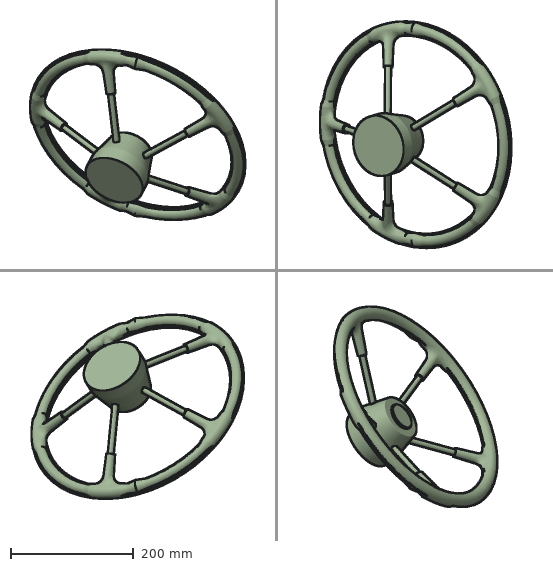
import cadquery as cq
import math


wheel_radius = 187.5
wheel_depth = 118.83

tube_radius = 12.0
grip_radius = 9.4
rim_radius = wheel_radius - tube_radius
rim_y = wheel_depth - tube_radius

hub_radius = 50.0
hub_base_length = 25.0
hub_length = 75.0
hub_top_radius = 37.5
hub_edge_fillet = 1.5
boss_radius = 22.5
boss_top_y = 78.2
boss_edge_chamfer = 0.8

spoke_count = 5
spoke_pitch = 360.0 / spoke_count
first_spoke_angle = spoke_pitch / 2
rod_radius = 5.25
rod_inner_radius = 30.0
spoke_slope = math.radians(24.7)
sleeve_start_radius = 119.0
sleeve_end_radius = 172.0
sleeve_seam_radius = rim_radius - 2 * tube_radius
sleeve_small_radius = 7.5
sleeve_large_radius = 9.5
joint_fillet = 15.0

joint_half_angle = 9.2
joint_fade_angle = 4.0
seam_angles = (90.0, 270.0)
seam_fade_angle = 6.5
fade_sink = 0.6


def turn(shape, angle):
    """Turn a shape about the wheel axis, from +X towards +Z."""
    return shape.rotate((0, 0, 0), (0, 1, 0), -angle)


def radial_point(radius):
    """Point on the axis of the spoke in the XY plane at a distance from the wheel axis."""
    return cq.Vector(radius, rim_y - (rim_radius - radius) * math.tan(spoke_slope), 0)


def make_hub():
    profile = (
        cq.Workplane("XY")
        .lineTo(hub_radius, 0)
        .lineTo(hub_radius, hub_base_length)
        .lineTo(hub_top_radius, hub_length)
        .lineTo(0, hub_length)
        .close()
    )
    body = profile.revolve(360, (0, 0, 0), (0, 1, 0)).faces(">Y").edges().fillet(hub_edge_fillet)
    boss = (
        cq.Workplane("XZ", origin=(0, hub_length, 0))
        .circle(boss_radius)
        .extrude(hub_length - boss_top_y)
        .faces(">Y")
        .chamfer(boss_edge_chamfer)
    )
    return body.union(boss)


def make_grip(start_angle, end_angle):
    """Rim length with a large half circle facing +Y and a smaller one facing the hub."""
    grip = (
        cq.Workplane("XY", origin=(rim_radius, rim_y, 0))
        .moveTo(-tube_radius, 0)
        .threePointArc((0, tube_radius), (tube_radius, 0))
        .lineTo(grip_radius, 0)
        .threePointArc((0, -grip_radius), (-grip_radius, 0))
        .close()
        .revolve(end_angle - start_angle, (-rim_radius, 0, 0), (-rim_radius, 1, 0))
    )
    return turn(grip, end_angle)


def hub_side_section(radius, angle):
    """Half-circle outline on the hub side of the tube, at an angle round the rim."""
    outline = (
        cq.Workplane("XY", origin=(rim_radius, rim_y, 0))
        .moveTo(radius, 0)
        .threePointArc((0, -radius), (-radius, 0))
        .close()
    )
    return turn(outline.val(), angle)


def make_fade(start_angle, end_angle):
    """Hub-side taper from the full tube down into the grip surface."""
    full_section = hub_side_section(tube_radius, start_angle)
    sunk_section = hub_side_section(grip_radius - fade_sink, end_angle)
    return cq.Workplane(cq.Solid.makeLoft([full_section, sunk_section], True))


def make_joint():
    """Full-round rim length blended into the spoke sleeve, for a spoke along +X."""
    tube = (
        cq.Workplane("XY", origin=(rim_radius, rim_y, 0))
        .circle(tube_radius)
        .revolve(2 * joint_half_angle, (-rim_radius, 0, 0), (-rim_radius, 1, 0))
    )
    tube = turn(tube, joint_half_angle)
    start = radial_point(sleeve_start_radius)
    axis = radial_point(sleeve_end_radius) - start
    sleeve = cq.Solid.makeCone(sleeve_small_radius, sleeve_large_radius, axis.Length, start, axis)
    joint = tube.union(cq.Workplane(sleeve))
    seam_zone = cq.selectors.BoxSelector(
        (sleeve_seam_radius, 0, -tube_radius),
        (rim_radius, wheel_depth, tube_radius),
        boundingbox=True,
    )
    return joint.edges(seam_zone).fillet(joint_fillet)


def make_rod():
    start = radial_point(rod_inner_radius)
    axis = radial_point(rim_radius) - start
    return cq.Workplane(cq.Solid.makeCylinder(rod_radius, axis.Length, start, axis))


def make_rim_between_spokes(spoke_angle):
    """Hand grip from one spoke joint to the next, with the tapers that lie on it."""
    start = spoke_angle + joint_half_angle
    end = spoke_angle + spoke_pitch - joint_half_angle
    fades = [(start, start + joint_fade_angle), (end, end - joint_fade_angle)]
    for seam_angle in seam_angles:
        if start < seam_angle < end:
            fades.append((seam_angle, seam_angle - seam_fade_angle))
            fades.append((seam_angle, seam_angle + seam_fade_angle))
    grip = make_grip(start, end)
    for full_angle, sunk_angle in fades:
        grip = grip.union(make_fade(full_angle, sunk_angle), clean=False)
    return grip


spoke = make_rod().union(make_joint())
spoke_angles = [first_spoke_angle + index * spoke_pitch for index in range(spoke_count)]

result = make_hub()
for spoke_angle in spoke_angles:
    result = result.union(turn(spoke, spoke_angle), clean=False)
for spoke_angle in spoke_angles:
    result = result.union(make_rim_between_spokes(spoke_angle), clean=False)
result = cq.Workplane(result.solids().val())